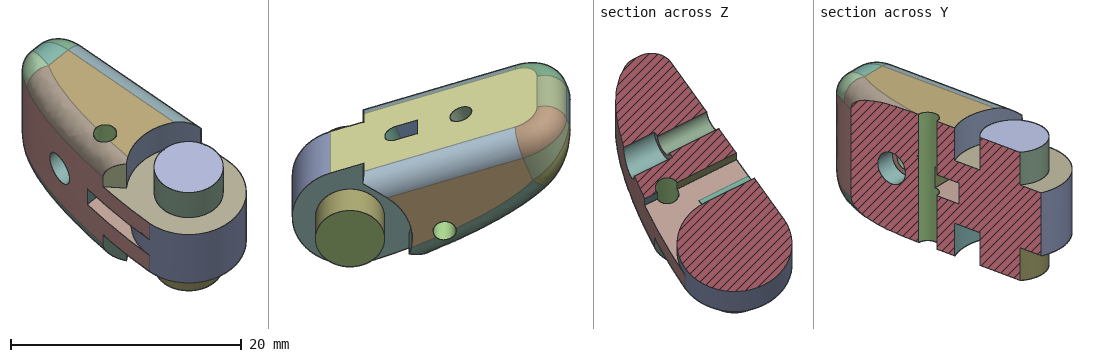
import cadquery as cq
import math

body_length = 21.0
height = 12.6
half_width = 5.0
corner_radius = 4.0
edge_fillet = 2.0

tip_corner = (-body_length, 1.9)
belly_controls = [(-19.5, -1.25), (-15.8, -3.95), (-3.6, -half_width)]
belly_end = (0, -half_width)

pin_diameter = 6.0
knuckle_height = 6.2
clearance_radius = 5.4
belly_stop_angle = 38.0
back_stop_angle = 58.3

slot_height = 2.0
slot_start = -8.0
cord_hole_diameter = 2.0
cord_hole_y = -2.0
anchor_x = -12.0
anchor_hole_diameter = 2.0
anchor_bore_diameter = 3.0
anchor_bore_floor = 0.0

reach = 2 * body_length


def slab(thickness):
    """Large plate centred on the XY plane."""
    return cq.Workplane("XY").box(reach, reach, thickness)


def y_cylinder(diameter, x, y_start, y_end):
    """Cylinder along Y, centred on z = 0."""
    return (
        cq.Workplane("XZ", origin=(x, y_start, 0))
        .circle(diameter / 2)
        .extrude(y_start - y_end)
    )


def make_body():
    """Body with a flat back, a curved belly, a rounded tip and filleted long edges."""
    plan = (
        cq.Workplane("XY", origin=(0, 0, -height / 2))
        .moveTo(0, half_width)
        .lineTo(-body_length, half_width)
        .lineTo(*tip_corner)
        .bezier(belly_controls + [belly_end], includeCurrent=True)
        .close()
        .extrude(height)
    )
    elevation = (
        cq.Workplane("XY")
        .box(body_length, 2 * half_width, height)
        .edges("|Y and <X")
        .fillet(corner_radius)
        .translate((-body_length / 2, 0, 0))
    )
    body = plan.intersect(elevation)
    back_edges = body.faces(">Y").edges("not >X")
    belly_edges = body.faces("%EXTRUSION").edges("not >X")
    return body.newObject(back_edges.vals() + belly_edges.vals()).fillet(edge_fillet)


def make_clearance_sector():
    """Body region kept above and below the knuckle: a sector between two radial stop faces."""
    belly_angle = math.radians(180 + belly_stop_angle)
    back_angle = math.radians(180 - back_stop_angle)
    sector = (
        cq.Workplane("XY", origin=(0, 0, -height / 2))
        .polyline([
            (0, 0),
            (reach * math.cos(back_angle), reach * math.sin(back_angle)),
            (-reach, 0),
            (reach * math.cos(belly_angle), reach * math.sin(belly_angle)),
        ])
        .close()
        .extrude(height)
    )
    return sector.cut(cq.Workplane("XY").cylinder(height, clearance_radius))


def make_slot():
    """Round-ended slot through the body, opened up around the knuckle on the belly side."""
    round_radius = slot_height / 2
    round_center = -half_width - round_radius
    straight = cq.Workplane("XY").box(
        round_center - slot_start, reach, slot_height, centered=(False, True, True)
    ).translate((slot_start, 0, 0))
    round_end = y_cylinder(slot_height, round_center, -reach / 2, reach / 2)
    belly_opening = (
        cq.Workplane("XY")
        .box(-slot_start, reach, slot_height, centered=(False, False, True))
        .translate((slot_start, -reach, 0))
        .cut(cq.Workplane("XY").cylinder(slot_height, half_width))
    )
    return straight.union(round_end).union(belly_opening)


def make_anchor_hole():
    """Stepped hole along Y, wider from the belly side."""
    bore = y_cylinder(anchor_bore_diameter, anchor_x, -half_width, anchor_bore_floor)
    hole = y_cylinder(anchor_hole_diameter, anchor_x, -half_width, half_width)
    return bore.union(hole)


body = make_body()
central_body = body.intersect(slab(knuckle_height))
outer_body = body.intersect(make_clearance_sector())
knuckle = cq.Workplane("XY").cylinder(knuckle_height, half_width)
pin = cq.Workplane("XY").cylinder(height, pin_diameter / 2)
cord_hole = cq.Workplane("XY").cylinder(height, cord_hole_diameter / 2).translate((slot_start, cord_hole_y, 0))

result = (
    outer_body.union(central_body)
    .union(knuckle)
    .union(pin)
    .cut(make_slot())
    .cut(make_anchor_hole())
    .cut(cord_hole)
)